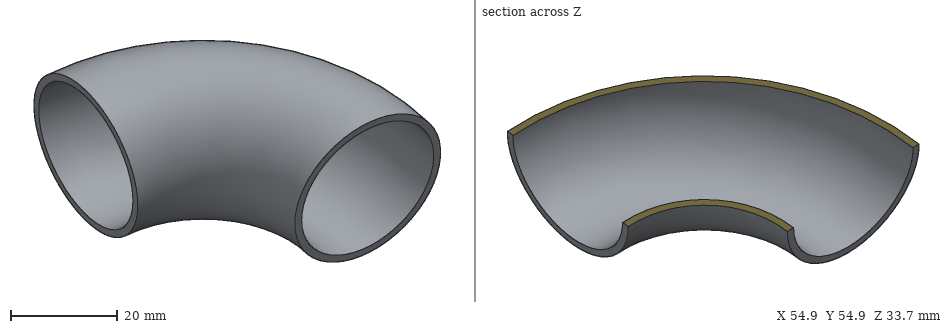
import cadquery as cq

outer_reach = 54.85
pipe_diameter = 33.7
wall_thickness = 1.6
bend_angle = 90.0

pipe_radius = pipe_diameter / 2
bore_radius = pipe_radius - wall_thickness
bend_radius = outer_reach - pipe_radius

pipe_section = (
    cq.Workplane("XZ")
    .center(-bend_radius, 0)
    .circle(pipe_radius)
    .circle(bore_radius)
)

bend_axis_start = (bend_radius, 0)
bend_axis_end = (bend_radius, -1)
result = pipe_section.revolve(bend_angle, bend_axis_start, bend_axis_end)